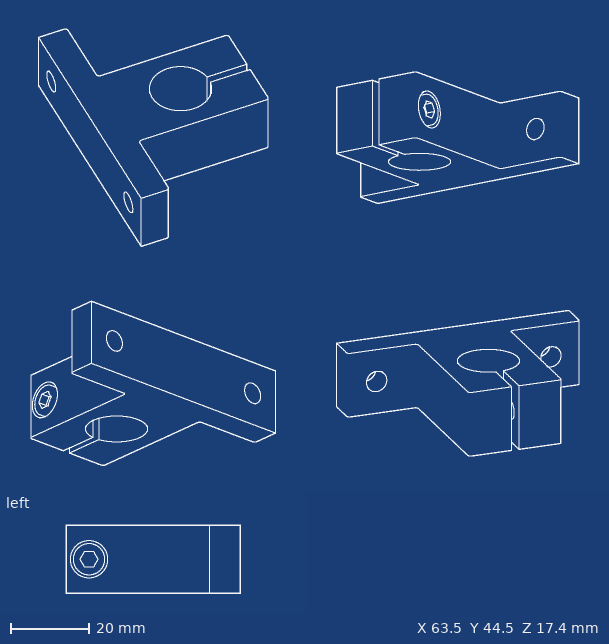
import cadquery as cq
import math

base_length = 63.5
total_depth = 44.45
thickness = 17.45
base_depth = 7.95
column_width = 25.4
corner_radius = 0.8

bore_diameter = 15.9
bore_y = 25.4
slot_width = 2.05
mount_diameter = 5.5
mount_spacing = 47.6

screw_y = 38.6
shank_diameter = 4.8
shank_tip_x = 8.0
head_diameter = 8.0
head_height = 5.0
head_fillet = 0.25
counterbore_diameter = 9.5
socket_across_flats = 4.0
socket_depth = 2.5

mid_z = thickness / 2
column_face_x = -column_width / 2
head_seat_x = column_face_x + head_height


def screw_plane(x):
    """Plane across the screw axis at x, with its normal along +X."""
    return cq.Workplane("YZ", origin=(x, screw_y, mid_z))


def make_shank():
    """Plain shank from the head seat to the tip."""
    return screw_plane(head_seat_x).circle(shank_diameter / 2).extrude(shank_tip_x - head_seat_x)


def make_bracket():
    """T-shaped block with a split shaft bore and a seat for the screw."""
    base = cq.Workplane("XY").box(base_length, base_depth, thickness, centered=(True, False, False))
    column = cq.Workplane("XY").box(column_width, total_depth, thickness, centered=(True, False, False))
    bracket = base.union(column)

    bracket = bracket.edges("|Z").edges("not <Y").fillet(corner_radius)

    bore = cq.Workplane("XY").center(0, bore_y).circle(bore_diameter / 2).extrude(thickness)
    slot = (
        cq.Workplane("XY", origin=(0, bore_y, 0))
        .box(slot_width, total_depth - bore_y, thickness, centered=(True, False, False))
    )
    mount_holes = (
        cq.Workplane("XZ", origin=(0, 0, mid_z))
        .pushPoints([(-mount_spacing / 2, 0), (mount_spacing / 2, 0)])
        .circle(mount_diameter / 2)
        .extrude(-base_depth)
    )
    counterbore = (
        screw_plane(column_face_x)
        .circle(counterbore_diameter / 2)
        .extrude(head_seat_x - column_face_x)
    )
    return bracket.cut(bore).cut(slot).cut(mount_holes).cut(counterbore).cut(make_shank())


def make_screw():
    """Socket head screw with a rounded head rim and a hexagonal socket."""
    head = screw_plane(column_face_x).circle(head_diameter / 2).extrude(head_height)
    head = head.faces("<X").edges().fillet(head_fillet)
    socket_across_corners = socket_across_flats / math.cos(math.pi / 6)
    socket = screw_plane(column_face_x).polygon(6, socket_across_corners).extrude(socket_depth)
    return head.union(make_shank()).cut(socket)


bracket = make_bracket()
screw = make_screw()

result = cq.Compound.makeCompound([bracket.solids().val(), screw.solids().val()])